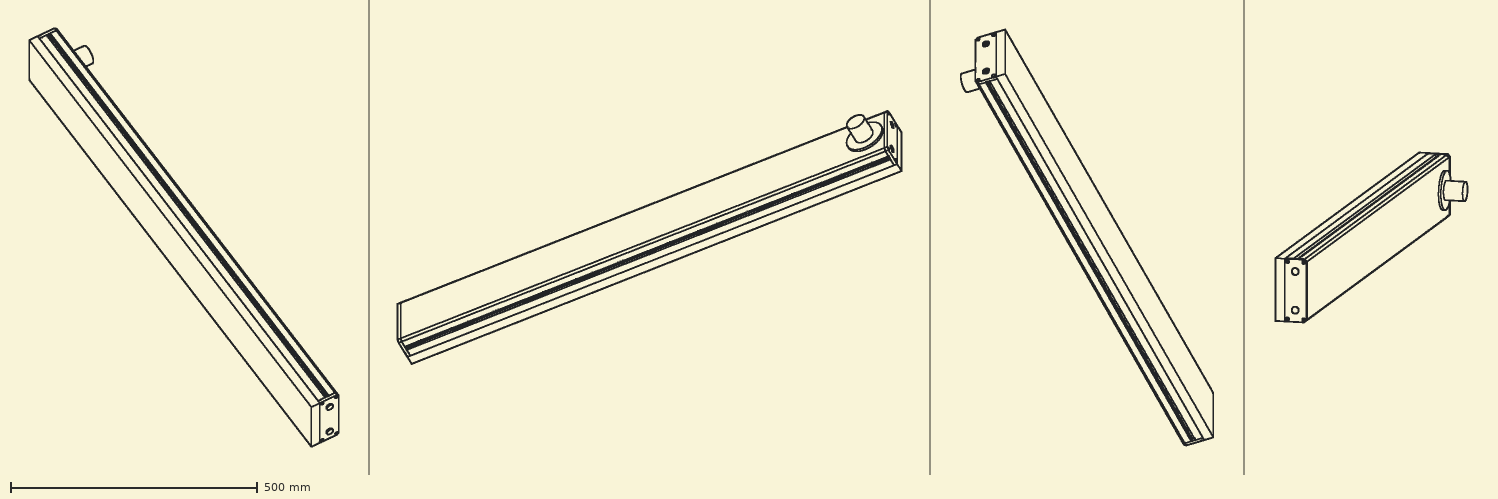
import cadquery as cq

total_length = 1114.0
total_depth = 110.0
height = 130.0
boss_height = 3.0
body_length = total_length - boss_height

socket_x = 50.0
barrel_diameter = 40.0
barrel_length = 40.0
flange_diameter = 80.0
flange_thickness = 5.0
body_depth = total_depth - barrel_length - flange_thickness

panel_thickness = 20.0
cap_thickness = 7.0
back_chamfer = 5.0
housing_length = body_length - 2 * cap_thickness

groove_front = 37.0
groove_width = 9.0
groove_depth = 3.0
slot_width = 7.0
slot_depth = 7.0

screw_spacing = 80.0
screw_y = 42.0
screw_head_diameter = 15.0
screw_bore_diameter = 9.0
counterbore_depth = 3.0
screw_points = [(screw_y, side * screw_spacing / 2) for side in (-1, 1)]

corner_hole_diameter = 7.0
corner_hole_inset = 6.0
corner_points = [
    (y, side * (height / 2 - corner_hole_inset))
    for y in (panel_thickness + corner_hole_inset, body_depth - corner_hole_inset)
    for side in (-1, 1)
]


def box(size, x, y, z=0):
    """Box that starts at x and y and is centred on z."""
    return cq.Workplane("XY").box(*size, centered=(False, False, True)).translate((x, y, z))


def x_cylinders(points, diameter, depth, x):
    """Cylinders along +X that start at x, one for each (y, z) point."""
    return cq.Workplane("YZ", origin=(x, 0, 0)).pushPoints(points).circle(diameter / 2).extrude(depth)


def housing_block(x, length):
    """Stretch of the housing outline, with its two back edges chamfered."""
    block = box((length, body_depth - panel_thickness, height), x, panel_thickness)
    return block.edges("|X and >Y").chamfer(back_chamfer)


def make_panel():
    return box((body_length, panel_thickness, height), 0, 0)


def make_housing():
    housing = housing_block(cap_thickness, housing_length)
    for face_z in (-height / 2, height / 2):
        for width, depth in ((groove_width, groove_depth), (slot_width, slot_depth)):
            cutter = box((housing_length, width, 2 * depth), cap_thickness, groove_front, face_z)
            housing = housing.cut(cutter)
    return housing


def make_plain_cap(x):
    """End cap with only its corner holes."""
    return housing_block(x, cap_thickness).cut(
        x_cylinders(corner_points, corner_hole_diameter, cap_thickness, x)
    )


def make_left_cap():
    counterbores = x_cylinders(screw_points, screw_head_diameter, counterbore_depth, 0)
    bores = x_cylinders(screw_points, screw_bore_diameter, cap_thickness, 0)
    return make_plain_cap(0).cut(counterbores).cut(bores)


def make_right_cap():
    bosses = x_cylinders(screw_points, screw_head_diameter, boss_height, body_length)
    return make_plain_cap(body_length - cap_thickness).union(bosses)


def make_socket():
    back = cq.Workplane("XZ", origin=(socket_x, body_depth, 0))
    flange = back.circle(flange_diameter / 2).extrude(-flange_thickness)
    barrel = back.circle(barrel_diameter / 2).extrude(-(flange_thickness + barrel_length))
    return flange.union(barrel)


panel = make_panel()
housing = make_housing()
left_cap = make_left_cap()
right_cap = make_right_cap()
socket = make_socket()

bodies = [panel, housing, left_cap, right_cap, socket]
result = cq.Compound.makeCompound([body.solids().val() for body in bodies])